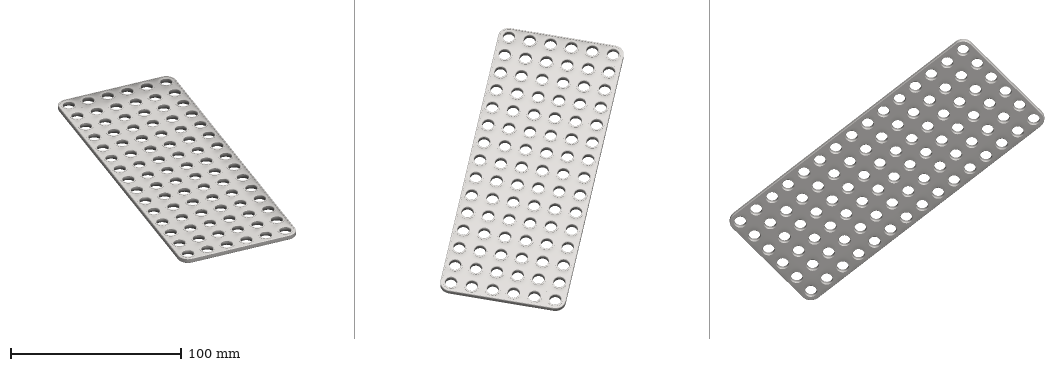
import cadquery as cq

length = 187.5
columns = 15
rows = 6
pitch = length / columns
width = rows * pitch
thickness = pitch / 4
corner_radius = pitch / 2

hole_diameter = 7.0
edge_chamfer = 0.32

ring_diameter = 9.2
border_width = 1.0
recess_depth = 0.2
recess_floor = thickness - recess_depth

bar_length = 3.0
bar_width = 0.5
bar_x = pitch - length / 2
bar_y = pitch - width / 2


def rounded_slab(inset, bottom, height):
    """Slab with the plate's outline moved inward by inset."""
    return (
        cq.Workplane("XY", origin=(0, 0, bottom))
        .rect(length - 2 * inset, width - 2 * inset)
        .extrude(height)
        .edges("|Z")
        .fillet(corner_radius - inset)
    )


def at_every_hole(shape):
    """Copies of a shape, one on each hole axis."""
    grid = cq.Workplane("XY").rarray(pitch, pitch, columns, rows)
    return grid.eachpoint(lambda location: shape.moved(location))


def hole_cutter():
    """Revolved cutter for one through hole, flared by the chamfer at both ends."""
    bore = hole_diameter / 2
    mouth = bore + edge_chamfer
    return (
        cq.Workplane("XZ")
        .lineTo(mouth, 0)
        .lineTo(bore, edge_chamfer)
        .lineTo(bore, thickness - edge_chamfer)
        .lineTo(mouth, thickness)
        .lineTo(0, thickness)
        .close()
        .revolve(360, (0, 0, 0), (0, 1, 0))
        .val()
    )


def ring_blank():
    """Disc as deep as the recess, left standing around one hole."""
    disc = cq.Workplane("XY", origin=(0, 0, recess_floor)).circle(ring_diameter / 2)
    return disc.extrude(recess_depth).val()


def bar_blank():
    """Bar as deep as the recess, parallel to X."""
    bar = cq.Workplane("XY", origin=(bar_x, bar_y, recess_floor)).rect(bar_length, bar_width)
    return bar.extrude(recess_depth)


plate = rounded_slab(0, 0, thickness).faces("<Z or >Z").edges().chamfer(edge_chamfer)
recess = rounded_slab(border_width, recess_floor, recess_depth)
recess = recess.cut(at_every_hole(ring_blank())).cut(bar_blank())
result = plate.cut(recess).cut(at_every_hole(hole_cutter()))